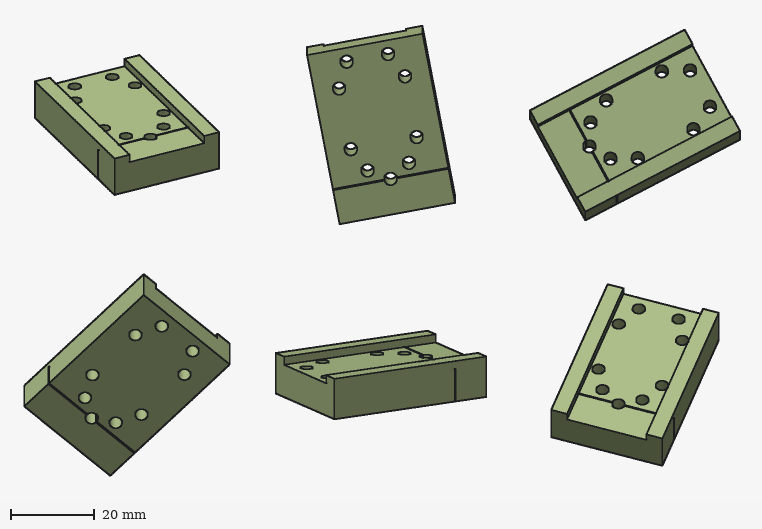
import cadquery as cq

length = 41.8
width = 28.0
height = 10.0
rail_width = 4.0
channel_depth = 2.0
floor_height = height - channel_depth
channel_width = width - 2 * rail_width

hole_diameter = 3.0
inner_hole_y = 5.0
outer_hole_y = 8.0
left_inner_x = 3.35
left_outer_x = 9.4
right_outer_x = 24.4
right_inner_x = 30.2

slit_x = 33.2
slit_width = 0.3


def make_block():
    """Rectangular block with its left end at X = 0 and its base at Z = 0."""
    return cq.Workplane("XY").box(length, width, height, centered=(False, True, False))


def make_channel():
    """Full-length channel between the two side rails."""
    channel = cq.Workplane("XY").box(length, channel_width, channel_depth, centered=(False, True, False))
    return channel.translate((0, 0, floor_height))


def make_holes():
    """Paired holes plus one relief hole on the slit."""
    places = [(slit_x, 0)]
    for x, y in (
        (left_inner_x, inner_hole_y),
        (left_outer_x, outer_hole_y),
        (right_outer_x, outer_hole_y),
        (right_inner_x, inner_hole_y),
    ):
        places += [(x, y), (x, -y)]
    return cq.Workplane("XY").pushPoints(places).circle(hole_diameter / 2).extrude(height)


def make_slit():
    """Slit open at the base, at both sides and at the channel floor."""
    slit = cq.Workplane("XY").box(slit_width, width, floor_height, centered=(True, True, False))
    return slit.translate((slit_x, 0, 0))


result = make_block().cut(make_channel()).cut(make_holes()).cut(make_slit())